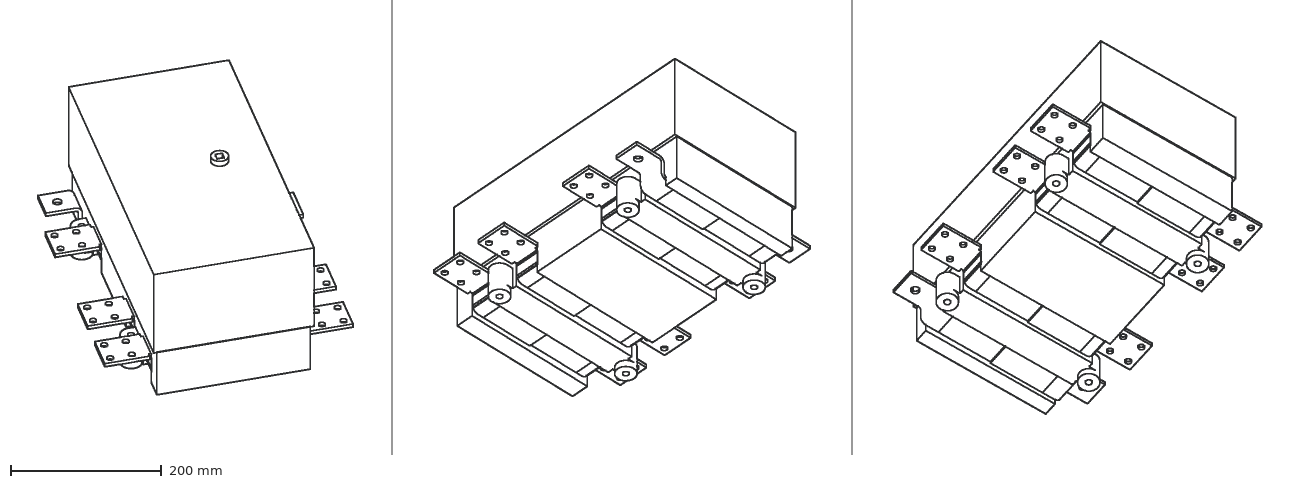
import cadquery as cq
import math

overall_width = 342.0

cover_length = 426.0
cover_width = 221.0
cover_top = 214.0
cover_bottom = 82.5
base_length = 423.0
base_width = 211.7
base_bottom = 10.5
wall_y = base_width / 2

knob_x = -4.0
knob_y = 40.0
knob_diameter = 24.0
knob_top = 222.0
socket_side = 10.0

foot_xs = (-128.0, 119.3)
foot_y = 116.0
foot_diameter = 30.0
foot_hole_diameter = 9.0
foot_top = 45.5

strap_width = 40.0
strap_thickness = 5.5
inner_bend = 4.3
outer_bend = inner_bend + strap_thickness
terminal_top = 59.0
terminal_height = 36.0
rear_drop = 3.0
lower_flange_end = 85.0
notch_end_y = wall_y + outer_bend

narrow_x = -170.5
narrow_bend_y = 118.5
narrow_tip_y = 159.0
narrow_hole_diameter = 12.0
narrow_hole_from_tip = 21.5

wide_xs = (-85.5, 77.5, 162.7)
wide_bend_y = 109.0
wide_tip_y = overall_width / 2
wide_width = 50.3
wide_hole_diameter = 9.0
wide_hole_spacing = 30.0
wide_hole_from_tip = 10.2


def block(x_center, x_size, y_start, y_end, z_start, z_end):
    """Box centred on x_center that spans the given Y and Z ranges."""
    return cq.Workplane("XY").box(
        x_size, y_end - y_start, z_end - z_start, centered=(True, False, False)
    ).translate((x_center, y_start, z_start))


def web_face(bend_y):
    """Y of the outward face of the web below an upper bend centred at bend_y."""
    return bend_y - inner_bend


def lower_bend_center(bend_y):
    """Y of the axis of the lower bend."""
    return web_face(bend_y) - outer_bend


def strap(x, bend_y, tip_y):
    """Z-shaped strap of even thickness, on the +Y side."""
    top = terminal_top
    bottom = terminal_top - terminal_height
    upper_axis = top - outer_bend
    lower_axis_y = lower_bend_center(bend_y)
    lower_axis = bottom + outer_bend
    diagonal = math.sqrt(0.5)
    outline = (
        cq.Workplane("YZ")
        .moveTo(tip_y, top)
        .lineTo(bend_y, top)
        .threePointArc(
            (bend_y - outer_bend * diagonal, upper_axis + outer_bend * diagonal),
            (bend_y - outer_bend, upper_axis),
        )
        .lineTo(bend_y - outer_bend, lower_axis)
        .threePointArc(
            (lower_axis_y + inner_bend * diagonal, lower_axis - inner_bend * diagonal),
            (lower_axis_y, lower_axis - inner_bend),
        )
        .lineTo(lower_flange_end, bottom + strap_thickness)
        .lineTo(lower_flange_end, bottom)
        .lineTo(lower_axis_y, bottom)
        .threePointArc(
            (lower_axis_y + outer_bend * diagonal, lower_axis - outer_bend * diagonal),
            (web_face(bend_y), lower_axis),
        )
        .lineTo(web_face(bend_y), upper_axis)
        .threePointArc(
            (bend_y - inner_bend * diagonal, upper_axis + inner_bend * diagonal),
            (bend_y, top - strap_thickness),
        )
        .lineTo(tip_y, top - strap_thickness)
        .close()
    )
    return outline.extrude(strap_width / 2, both=True).translate((x, 0, 0))


def drill(body, points, diameter):
    """Drill vertical holes right through a body."""
    holes = cq.Workplane("XY").pushPoints(points).circle(diameter / 2).extrude(knob_top)
    return body.cut(holes)


def narrow_terminal():
    """Strap with one hole in its upper flange."""
    hole = (narrow_x, narrow_tip_y - narrow_hole_from_tip)
    return drill(strap(narrow_x, narrow_bend_y, narrow_tip_y), [hole], narrow_hole_diameter)


def wide_terminal(x):
    """Strap whose upper flange widens to a plate with four holes."""
    plate = block(x, wide_width, wide_bend_y, wide_tip_y, terminal_top - strap_thickness, terminal_top)
    outer_row = wide_tip_y - wide_hole_from_tip
    holes = [
        (x + side * wide_hole_spacing / 2, row)
        for side in (-1, 1)
        for row in (outer_row, outer_row - wide_hole_spacing)
    ]
    return drill(strap(x, wide_bend_y, wide_tip_y).union(plate), holes, wide_hole_diameter)


def terminal_notch(x, bend_y):
    """Space around a strap: a channel below it, room ahead of its lower bend and of its web."""
    lower_flange_bottom = terminal_top - terminal_height
    channel = block(x, strap_width, 0, notch_end_y, 0, lower_flange_bottom)
    bend_room = block(x, strap_width, lower_bend_center(bend_y), notch_end_y,
                      0, lower_flange_bottom + strap_thickness)
    web_room = block(x, strap_width, web_face(bend_y), notch_end_y,
                     0, terminal_top - outer_bend)
    return channel.union(bend_room).union(web_room)


def on_side(shape, side):
    """Place a +Y side shape at the front (side -1), or at the rear (side 1) where it sits lower."""
    if side < 0:
        return shape.mirror("XZ")
    return shape.translate((0, 0, -rear_drop))


def foot(x, side):
    """Round foot joined to the base wall by a straight-sided web."""
    post = cq.Workplane("XY").center(x, foot_y).circle(foot_diameter / 2).extrude(foot_top)
    web = block(x, foot_diameter, wall_y, foot_y, base_bottom, foot_top)
    foot_body = drill(post.union(web), [(x, foot_y)], foot_hole_diameter)
    return foot_body if side > 0 else foot_body.mirror("XZ")


def knob():
    """Round knob with a square socket as deep as the knob is tall."""
    return (
        cq.Workplane("XY", origin=(knob_x, knob_y, cover_top))
        .circle(knob_diameter / 2)
        .rect(socket_side, socket_side)
        .extrude(knob_top - cover_top)
    )


terminals = []
notches = []
for side in (-1, 1):
    terminals.append(on_side(narrow_terminal(), side))
    notches.append(on_side(terminal_notch(narrow_x, narrow_bend_y), side))
    for wide_x in wide_xs:
        terminals.append(on_side(wide_terminal(wide_x), side))
        notches.append(on_side(terminal_notch(wide_x, wide_bend_y), side))

cover = block(0, cover_length, -cover_width / 2, cover_width / 2, cover_bottom, cover_top)
base = block(0, base_length, -wall_y, wall_y, base_bottom, cover_bottom)
for notch in notches:
    base = base.cut(notch)
for terminal in terminals:
    base = base.cut(terminal)
housing = cover.union(base).union(knob())
for foot_x in foot_xs:
    for side in (-1, 1):
        housing = housing.union(foot(foot_x, side))

result = cq.Compound.makeCompound([housing.val(), *[terminal.val() for terminal in terminals]])